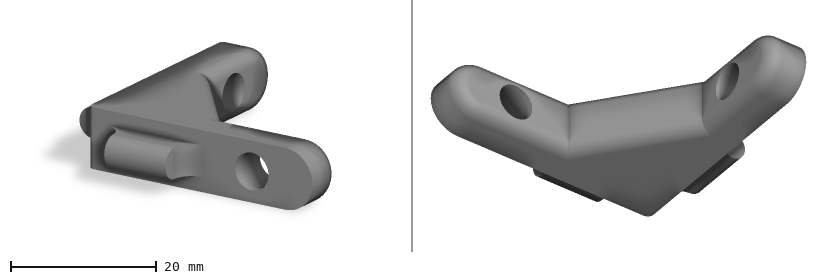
import cadquery as cq

overall = 42.0
height = 9.0
tab_reach = 5.0
arm_thickness = 6.17
gusset_x = 18.0
gusset_y = 21.05
edge_radius = 2.0
corner_radius = 1.0
hole_diameter = 5.5
hole_offset = 27.0
tab_length = 10.08
tab_height = 4.58
flare_radius = 3.0
x_arm_tab_start = 6.0
y_arm_tab_start = 5.5

arm_length = overall - tab_reach
end_radius = height / 2
tab_nose_radius = tab_height / 2


def rounded_end_envelope(plane):
    """Slab with a full-round end that limits the height profile of one arm."""
    straight = arm_length - end_radius
    return (
        cq.Workplane(plane)
        .moveTo(0, -end_radius)
        .lineTo(straight, -end_radius)
        .threePointArc((arm_length, 0), (straight, end_radius))
        .lineTo(0, end_radius)
        .close()
        .extrude(arm_length, both=True)
    )


def make_bracket():
    """L-shaped body with a gusset, round arm ends and rounded inner edges."""
    body = (
        cq.Workplane("XY")
        .polyline([
            (0, 0),
            (arm_length, 0),
            (arm_length, arm_thickness),
            (gusset_x, arm_thickness),
            (arm_thickness, gusset_y),
            (arm_thickness, arm_length),
            (0, arm_length),
        ])
        .close()
        .extrude(end_radius, both=True)
        .intersect(rounded_end_envelope("XZ"))
        .intersect(rounded_end_envelope("YZ"))
    )
    inner_walls = [
        (arm_length / 2 + gusset_x / 2, arm_thickness),
        (arm_thickness / 2 + gusset_x / 2, arm_thickness / 2 + gusset_y / 2),
        (arm_thickness, arm_length / 2 + gusset_y / 2),
    ]
    rim = cq.Workplane("XY")
    for x, y in inner_walls:
        wall = body.faces(cq.selectors.NearestToPointSelector((x, y, 0)))
        rim = rim.add(wall.edges("not |Z"))
    rounded = body.val().fillet(edge_radius, rim.vals())
    return cq.Workplane(rounded).edges("|Z and (<X and <Y)").fillet(corner_radius)


def make_tab(start):
    """Tab below the X arm: flared root along X and a round nose facing -Y."""
    end = start + tab_length
    arc_inset = flare_radius * (1 - 0.5 ** 0.5)
    outline = (
        cq.Workplane("XY")
        .moveTo(start - flare_radius, 0)
        .threePointArc((start - arc_inset, -arc_inset), (start, -flare_radius))
        .lineTo(start, -tab_reach)
        .lineTo(end, -tab_reach)
        .lineTo(end, -flare_radius)
        .threePointArc((end + arc_inset, -arc_inset), (end + flare_radius, 0))
        .lineTo(end + flare_radius, arm_thickness / 2)
        .lineTo(start - flare_radius, arm_thickness / 2)
        .close()
        .extrude(tab_nose_radius, both=True)
    )
    nose_start = tab_nose_radius - tab_reach
    nose_profile = (
        cq.Workplane("YZ")
        .moveTo(arm_thickness, -tab_nose_radius)
        .lineTo(nose_start, -tab_nose_radius)
        .threePointArc((-tab_reach, 0), (nose_start, tab_nose_radius))
        .lineTo(arm_thickness, tab_nose_radius)
        .close()
        .extrude(arm_length)
    )
    return outline.intersect(nose_profile)


def swap_arms(solid):
    """Mirror a solid across the plane X = Y, exchanging the two arms."""
    return solid.mirror("XZ").rotate((0, 0, 0), (0, 0, 1), 90)


x_arm_hole = (
    cq.Workplane("XZ")
    .center(hole_offset, 0)
    .circle(hole_diameter / 2)
    .extrude(arm_length, both=True)
)

result = (
    make_bracket()
    .union(make_tab(x_arm_tab_start))
    .union(swap_arms(make_tab(y_arm_tab_start)))
    .cut(x_arm_hole)
    .cut(swap_arms(x_arm_hole))
)